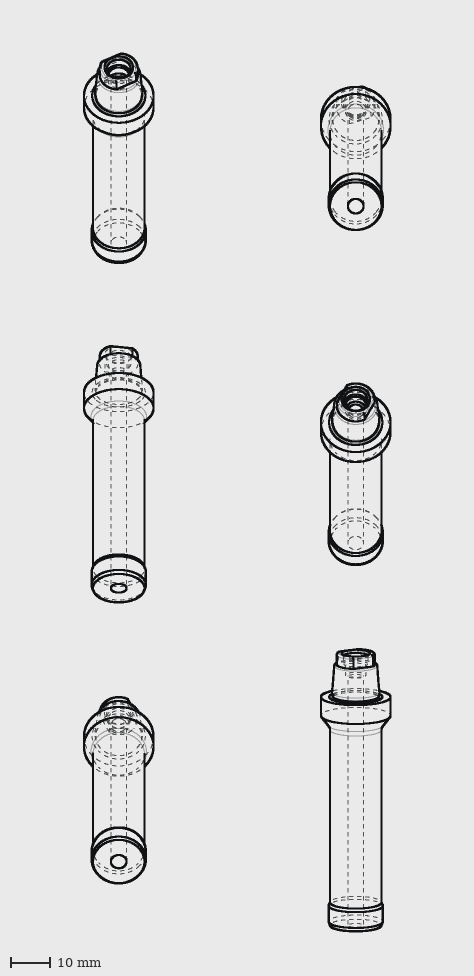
import cadquery as cq
import math

total_length = 71.45
flange_diameter = 17.8

collar_bottom_z = 1.0
collar_top_z = 5.15
shaft_bottom_z = 6.0
shaft_top_z = 51.3
flange_cone_bottom_z = 52.6
flange_bottom_z = 55.0
flange_top_z = 59.95
neck_bottom_z = 60.15
neck_top_z = 60.4
taper_bottom_z = 61.1
taper_top_z = 68.45

shaft_radius = 6.6
collar_radius = 6.9
flange_cone_radius = 7.1
flange_radius = flange_diameter / 2
relief_outer_radius = 6.8
neck_radius = 5.9
taper_bottom_radius = 6.1
taper_top_radius = 5.5
boss_radius = 4.85

relief_depth = 0.2
relief_floor_radius = 6.2

taper_rim_fillet = 0.4
boss_rim_fillet = 0.5

flat_distance = 3.9

through_hole_radius = 2.0
pilot_radius = 2.65
pilot_depth = 5.7
pilot_floor_slope = 31.0
socket_radius = 3.1
socket_depth = 2.85
lead_in_radius = 3.35
lead_in_depth = 0.7
rim_radius = 3.65
rim_depth = 0.3


def turn(outline):
    """Close an outline of (radius, height) points and revolve it about Z."""
    return outline.close().revolve(360, (0, 0, 0), (0, 1, 0))


def make_body():
    """Shaft with end collar, flange and tapered seat, as one turned solid."""
    outline = (
        cq.Workplane("XZ")
        .moveTo(0, 0)
        .lineTo(shaft_radius, 0)
        .lineTo(collar_radius, collar_bottom_z)
        .lineTo(collar_radius, collar_top_z)
        .lineTo(shaft_radius, shaft_bottom_z)
        .lineTo(shaft_radius, shaft_top_z)
        .tangentArcPoint((flange_cone_radius, flange_cone_bottom_z), relative=False)
        .lineTo(flange_radius, flange_bottom_z)
        .lineTo(flange_radius, flange_top_z)
        .lineTo(relief_outer_radius, flange_top_z)
        .lineTo(relief_floor_radius, flange_top_z - relief_depth)
        .tangentArcPoint((neck_radius, neck_bottom_z), relative=False)
        .lineTo(neck_radius, neck_top_z)
        .lineTo(taper_bottom_radius, taper_bottom_z)
        .lineTo(taper_top_radius, taper_top_z)
        .lineTo(0, taper_top_z)
    )
    return turn(outline).faces(">Z").edges().fillet(taper_rim_fillet)


def make_boss():
    """Round boss with flats facing -X and +X and a rounded top rim."""
    height = total_length - taper_top_z
    base = cq.Workplane("XY", origin=(0, 0, taper_top_z))
    disc = base.circle(boss_radius).extrude(height)
    between_flats = base.rect(2 * flat_distance, 2 * flange_radius).extrude(height)
    return disc.intersect(between_flats).faces(">Z").edges().fillet(boss_rim_fillet)


def make_bore():
    """Through hole that widens upwards into a pilot bore, then a socket with a flared mouth."""
    pilot_floor_drop = (pilot_radius - through_hole_radius) * math.tan(math.radians(pilot_floor_slope))
    seat_end_depth = socket_depth + socket_radius - pilot_radius
    outline = cq.Workplane("XZ").polyline([
        (0, 0),
        (through_hole_radius, 0),
        (through_hole_radius, total_length - pilot_depth - pilot_floor_drop),
        (pilot_radius, total_length - pilot_depth),
        (pilot_radius, total_length - seat_end_depth),
        (socket_radius, total_length - socket_depth),
        (socket_radius, total_length - lead_in_depth),
        (lead_in_radius, total_length - rim_depth),
        (rim_radius, total_length),
        (0, total_length),
    ])
    return turn(outline)


result = make_body().union(make_boss()).cut(make_bore())